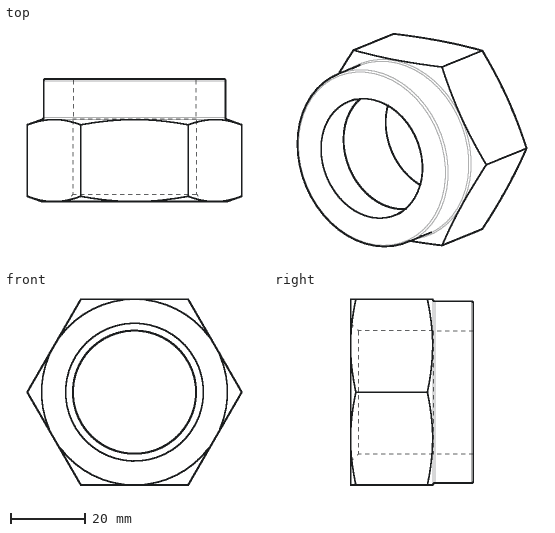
import cadquery as cq
import math

across_corners = 57.75
across_flats = across_corners * math.cos(math.radians(30))
total_length = 33.0
hex_length = 22.05
collar_radius = 24.5
collar_edge_round = 0.5
collar_root_round = 0.6
bore_radius = 16.6
rear_bore_radius = 16.5
rear_bore_start = 22.2
mouth_radius = 18.55
mouth_depth = 2.0
corner_chamfer_angle = math.radians(20)


def revolve_about_y(profile):
    """Turn a closed (radius, Y) profile around the Y axis."""
    return profile.close().revolve(360, (0, 0, 0), (0, 1, 0))


def make_body():
    """Hexagonal prism trimmed by a turned envelope: corner cones, collar root and collar."""
    prism = cq.Workplane("XZ").polygon(6, across_corners).extrude(-total_length)
    face_radius = across_flats / 2
    corner_radius = across_corners / 2
    cone_slope = math.tan(corner_chamfer_angle)
    drop = (corner_radius - face_radius) * cone_slope

    root_radius = collar_radius + collar_root_round * (1 - math.sin(corner_chamfer_angle))
    root_start = hex_length + (face_radius - root_radius) * cone_slope
    root_end = root_start + collar_root_round * math.cos(corner_chamfer_angle)

    envelope = revolve_about_y(
        cq.Workplane("XY")
        .moveTo(0, 0)
        .lineTo(face_radius, 0)
        .lineTo(corner_radius, drop)
        .lineTo(corner_radius, hex_length - drop)
        .lineTo(root_radius, root_start)
        .radiusArc((collar_radius, root_end), collar_root_round)
        .lineTo(collar_radius, total_length - collar_edge_round)
        .radiusArc((collar_radius - collar_edge_round, total_length), -collar_edge_round)
        .lineTo(0, total_length)
    )
    return prism.intersect(envelope)


def make_bore():
    """Through bore with a conical front mouth and a slightly narrower rear stretch."""
    return revolve_about_y(
        cq.Workplane("XY")
        .moveTo(0, 0)
        .lineTo(mouth_radius, 0)
        .lineTo(bore_radius, mouth_depth)
        .lineTo(bore_radius, rear_bore_start)
        .lineTo(rear_bore_radius, rear_bore_start)
        .lineTo(rear_bore_radius, total_length)
        .lineTo(0, total_length)
    )


result = make_body().cut(make_bore())